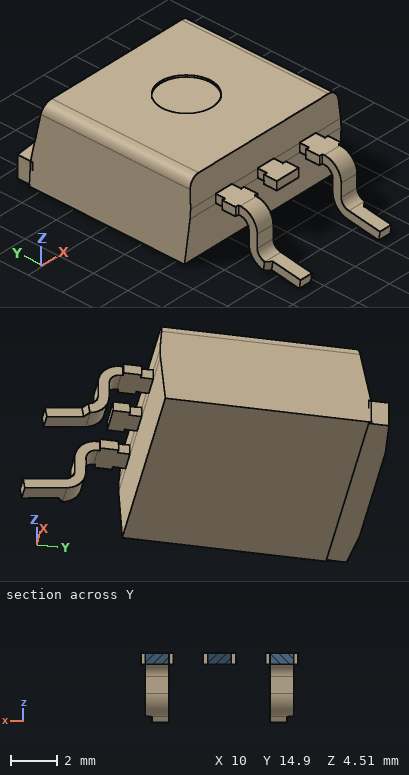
import cadquery as cq
import math


overall_length = 14.95
overall_height = 4.51
tab_end_y = 1.0
tip_y = tab_end_y - overall_length

housing_width = 10.0
housing_height = 4.4
side_draft = math.radians(3.6)
side_fillet = 0.6
front_base_y = -9.06
front_band_y = -9.25
front_top_y = -9.13
rear_top_y = -0.54
dimple_diameter = 3.0
dimple_y = -4.62
dimple_depth = 0.1

tab_thickness = 1.25
tab_width = 9.79
tab_end_flat = 5.98
tab_corner_drop = 0.21
root_depth = 0.1

lead_thickness = 0.5
lead_width = 1.03
lead_top = 2.89
lead_bottom = lead_top - lead_thickness
lead_pitch = 2.69
shoulder_width = 1.4
shoulder_start_y = -9.79
shoulder_end_y = -10.58
short_lead_end_y = -10.54
bend_start_y = -10.67
inner_radius = 0.51
outer_radius = inner_radius + lead_thickness
foot_angle = math.radians(8.5)
foot_bottom = housing_height - overall_height
foot_trim = 0.28
foot_trim_run = 0.22


def make_tab():
    """Flat metal tab with sloped end corners, its root set into the housing."""
    half_end = tab_end_flat / 2
    half_tab = tab_width / 2
    corner_y = tab_end_y - tab_corner_drop
    right_side = [
        (half_end, tab_end_y),
        (half_tab, corner_y),
        (half_tab, -root_depth),
    ]
    left_side = [(-x, y) for x, y in reversed(right_side)]
    return cq.Workplane("XY").polyline(right_side + left_side).close().extrude(tab_thickness)


def make_housing(tab):
    """Moulded body: side profile crossed with a tapered, rounded front profile."""
    side_profile = [
        (0, 0),
        (0, tab_thickness),
        (rear_top_y, housing_height),
        (front_top_y, housing_height),
        (front_band_y, lead_top),
        (front_band_y, lead_bottom),
        (front_base_y, 0),
    ]
    body = cq.Workplane("YZ").polyline(side_profile).close().extrude(housing_width / 2, both=True)

    half_base = housing_width / 2
    half_top = half_base - housing_height * math.tan(side_draft)
    front_profile = [
        (-half_base, 0),
        (half_base, 0),
        (half_top, housing_height),
        (-half_top, housing_height),
    ]
    taper = (
        cq.Workplane("XZ")
        .polyline(front_profile)
        .close()
        .extrude(-front_band_y)
        .edges("|Y and >Z")
        .fillet(side_fillet)
    )

    dimple = (
        cq.Workplane("XY", origin=(0, dimple_y, housing_height - dimple_depth))
        .circle(dimple_diameter / 2)
        .extrude(dimple_depth)
    )
    return body.intersect(taper).cut(dimple).cut(tab)


def lead_bar(width, start_y, end_y):
    """Straight flat piece of lead, centred on X = 0."""
    return (
        cq.Workplane("XY", origin=(0, 0, lead_bottom))
        .rect(width, end_y - start_y)
        .extrude(lead_thickness)
        .translate((0, (start_y + end_y) / 2, 0))
    )


def make_short_lead():
    """Middle lead, cut off at the end of its shoulder."""
    neck = lead_bar(lead_width, shoulder_start_y, front_band_y)
    shoulder = lead_bar(shoulder_width, short_lead_end_y, shoulder_start_y)
    return neck.union(shoulder)


def around(center, radius, angle):
    """Point at an angle on a circle, in the YZ plane."""
    return (center[0] + radius * math.cos(angle), center[1] + radius * math.sin(angle))


def make_formed_lead(outer_side):
    """Gull-wing lead whose foot is trimmed on its outer side (-1 for -X, +1 for +X)."""
    sin_foot = math.sin(foot_angle)
    cos_foot = math.cos(foot_angle)

    upper_center = (bend_start_y, lead_top - outer_radius)
    lower_y = bend_start_y - outer_radius - inner_radius
    foot_length = (lower_y + inner_radius * sin_foot - tip_y) / cos_foot
    lower_center = (lower_y, foot_bottom + outer_radius * cos_foot + foot_length * sin_foot)

    upper_mid = math.radians(135)
    foot_end = foot_angle - math.pi / 2
    lower_mid = foot_end / 2
    foot_top = around(lower_center, inner_radius, foot_end)
    foot_under = around(lower_center, outer_radius, foot_end)

    def along_foot(point):
        return (point[0] - foot_length * cos_foot, point[1] - foot_length * sin_foot)

    strip = (
        cq.Workplane("YZ")
        .moveTo(front_band_y, lead_top)
        .lineTo(bend_start_y, lead_top)
        .threePointArc(
            around(upper_center, outer_radius, upper_mid),
            around(upper_center, outer_radius, math.pi),
        )
        .lineTo(*around(lower_center, inner_radius, 0))
        .threePointArc(around(lower_center, inner_radius, lower_mid), foot_top)
        .lineTo(*along_foot(foot_top))
        .lineTo(*along_foot(foot_under))
        .lineTo(*foot_under)
        .threePointArc(
            around(lower_center, outer_radius, lower_mid),
            around(lower_center, outer_radius, 0),
        )
        .lineTo(*around(upper_center, inner_radius, math.pi))
        .threePointArc(around(upper_center, inner_radius, upper_mid), (bend_start_y, lead_bottom))
        .lineTo(front_band_y, lead_bottom)
        .close()
        .extrude(lead_width / 2, both=True)
    )
    shoulder = lead_bar(shoulder_width, shoulder_end_y, shoulder_start_y)

    foot_plane = cq.Plane(
        origin=(0, foot_under[0], foot_under[1]),
        xDir=(1, 0, 0),
        normal=(0, -sin_foot, cos_foot),
    )
    edge_x = outer_side * lead_width / 2
    trimmed_x = edge_x - outer_side * foot_trim
    trim_outline = [
        (edge_x, 0),
        (trimmed_x, -foot_trim_run),
        (trimmed_x, -foot_length),
        (edge_x, -foot_length),
    ]
    trim = (
        cq.Workplane(foot_plane)
        .polyline(trim_outline)
        .close()
        .extrude(lead_thickness)
    )
    return strip.union(shoulder).cut(trim).translate((outer_side * lead_pitch, 0, 0))


tab = make_tab()
housing = make_housing(tab)
short_lead = make_short_lead()
formed_leads = [make_formed_lead(side) for side in (-1, 1)]

result = cq.Compound.makeCompound(
    [
        housing.solids().val(),
        tab.solids().val(),
        short_lead.solids().val(),
        *[lead.solids().val() for lead in formed_leads],
    ]
)